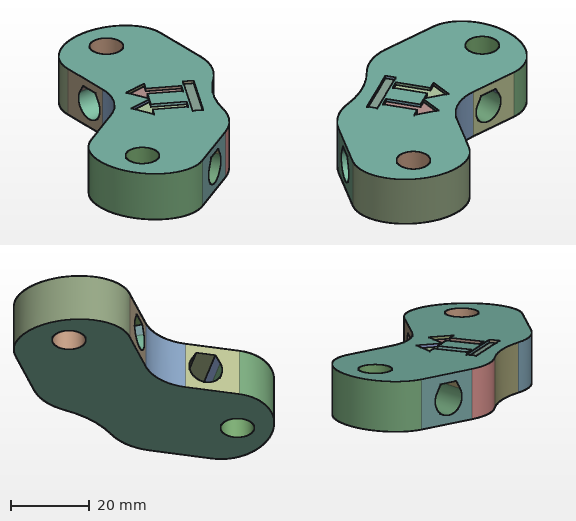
import cadquery as cq
import math

thickness = 13.2
half_width = 15.1
mirror_angle = 30.0

end_centre = 30.75
end_depth = 12.15
shoulder_centre = 14.55
waist_bottom = 5.9
inner_radius = 13.8

hole_radius = 4.3
pin_hole_distance = 33.8
cross_hole_distance = 22.0
roof_angle = 30.0

engraving_depth = 0.8
arrow_tip = -15.8
arrow_head_length = 5.2
arrow_head_half_width = 4.0
arrow_shaft_length = 9.15
arrow_shaft_half_width = 1.4
arrow_offset = 4.2
bar_gap = 0.7
bar_width = 2.75
bar_length = 15.7

mirror_cos = math.cos(math.radians(mirror_angle))
mirror_sin = math.sin(math.radians(mirror_angle))


def from_mirror_line(along, across):
    """Plate coordinates of a point given along and across the mirror line."""
    return (along * mirror_cos - across * mirror_sin, along * mirror_sin + across * mirror_cos)


def mirrored(point):
    """Reflect a plate point in the mirror line, from one leg to the other."""
    along = point[0] * mirror_cos + point[1] * mirror_sin
    across = point[1] * mirror_cos - point[0] * mirror_sin
    return from_mirror_line(along, -across)


def make_leg():
    """Straight leg from the elbow to its elliptical end, with a round shoulder on the outer side."""
    straight = end_centre - shoulder_centre
    sides = cq.Workplane("XY").center(0, -(end_centre + shoulder_centre) / 2)
    sides = sides.rect(2 * half_width, straight).extrude(thickness)
    end = cq.Workplane("XY").center(0, -end_centre).ellipse(half_width, end_depth).extrude(thickness)
    shoulder = cq.Workplane("XY").center(0, -shoulder_centre).circle(half_width).extrude(thickness)
    return sides.union(end).union(shoulder)


def make_elbow():
    """Web between the legs, bounded by the waist arc outside and the rounded corner inside."""
    shoulder = (0, -shoulder_centre)
    shoulder_along = -shoulder_centre * mirror_sin
    shoulder_across = shoulder_centre * mirror_cos
    reach = waist_bottom - shoulder_along
    waist_radius = (reach**2 + shoulder_across**2 - half_width**2) / (2 * (half_width - reach))
    waist_centre = from_mirror_line(waist_bottom + waist_radius, 0)
    share = half_width / (half_width + waist_radius)
    touch = tuple(s + share * (w - s) for s, w in zip(shoulder, waist_centre))
    inner_centre = -(half_width + inner_radius) / mirror_cos
    inner_middle = from_mirror_line(inner_centre + inner_radius, 0)
    inner_start = (-half_width, inner_centre * mirror_sin)
    return (
        cq.Workplane("XY")
        .moveTo(*touch)
        .threePointArc(from_mirror_line(waist_bottom, 0), mirrored(touch))
        .lineTo(*mirrored(shoulder))
        .lineTo(*mirrored(inner_start))
        .threePointArc(inner_middle, inner_start)
        .lineTo(*shoulder)
        .close()
        .extrude(thickness)
    )


def make_leg_holes():
    """Vertical pin hole and flat-roofed sideways hole of one leg."""
    pin_hole = cq.Workplane("XY").center(0, -pin_hole_distance).circle(hole_radius).extrude(thickness)
    side = math.radians(roof_angle)
    spring_point = (hole_radius * math.cos(side), hole_radius * math.sin(side))
    roof_half_width = hole_radius * (1 - math.sin(side)) / math.cos(side)
    cross_hole = (
        cq.Workplane("YZ", origin=(0, -cross_hole_distance, thickness / 2))
        .moveTo(*spring_point)
        .lineTo(roof_half_width, hole_radius)
        .lineTo(-roof_half_width, hole_radius)
        .lineTo(-spring_point[0], spring_point[1])
        .threePointArc((0, -hole_radius), spring_point)
        .close()
        .extrude(half_width + 0.7, both=True)
    )
    return pin_hole.union(cross_hole)


def make_symbol():
    """Two arrows and a bar, drawn along the mirror line and sunk into the top face."""
    head_back = arrow_tip + arrow_head_length
    shaft_back = head_back + arrow_shaft_length
    floor = cq.Workplane("XY", origin=(0, 0, thickness - engraving_depth))
    bar_middle = shaft_back + bar_gap + bar_width / 2
    symbol = floor.center(bar_middle, 0).rect(bar_width, bar_length).extrude(engraving_depth)
    for across in (-arrow_offset, arrow_offset):
        arrow = floor.polyline([
            (arrow_tip, across),
            (head_back, across + arrow_head_half_width),
            (head_back, across + arrow_shaft_half_width),
            (shaft_back, across + arrow_shaft_half_width),
            (shaft_back, across - arrow_shaft_half_width),
            (head_back, across - arrow_shaft_half_width),
            (head_back, across - arrow_head_half_width),
        ]).close().extrude(engraving_depth)
        symbol = symbol.union(arrow)
    return symbol.rotate((0, 0, 0), (0, 0, 1), mirror_angle)


def on_both_legs(body):
    """Join a leg feature with its reflection in the mirror line."""
    turned = body.mirror("XZ").rotate((0, 0, 0), (0, 0, 1), 2 * mirror_angle)
    return body.union(turned)


plate = on_both_legs(make_leg()).union(make_elbow())
result = plate.cut(on_both_legs(make_leg_holes())).cut(make_symbol())